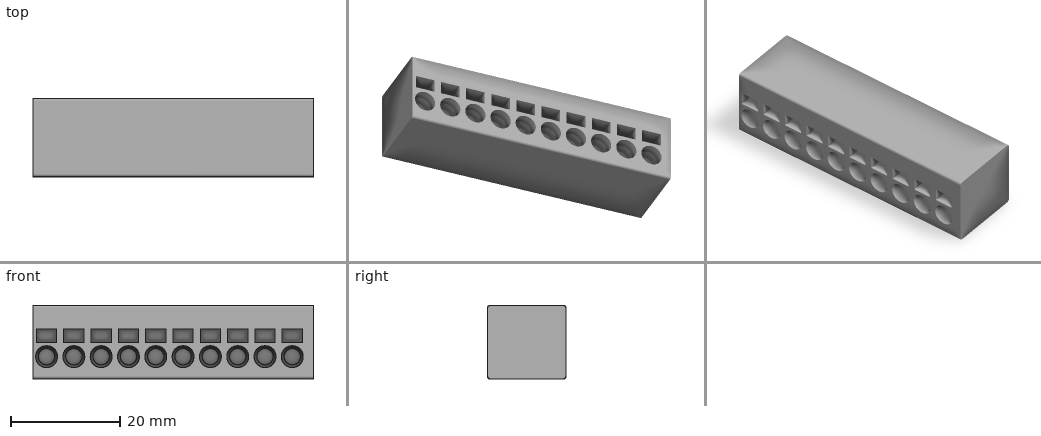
import cadquery as cq

length = 51.4
depth = 14.4
height = 13.5
edge_radius = 0.5

pole_count = 10
pole_pitch = 5.0
first_pole_x = 2.5

bore_diameter = 4.0
floor_diameter = 3.0
bore_depth = 2.0
taper_depth = 1.3
wire_entry_depth = bore_depth + taper_depth
wire_entry_z = 4.1

pocket_width = 3.7
pocket_height = 2.5
pocket_depth = wire_entry_depth
pocket_bottom_z = 6.7


def housing():
    """Block with its four long edges rounded and its end faces left sharp."""
    block = cq.Workplane("XY").box(length, depth, height, centered=False)
    return block.edges("|X").fillet(edge_radius)


def wire_entry(pole_x):
    """Bore and taper to remove, running inward along +Y."""
    inward = cq.Vector(0, 1, 0)
    mouth = cq.Vector(pole_x, 0, wire_entry_z)
    taper_start = mouth + inward * bore_depth
    bore_radius = bore_diameter / 2
    bore = cq.Solid.makeCylinder(bore_radius, bore_depth, mouth, inward)
    taper = cq.Solid.makeCone(bore_radius, floor_diameter / 2, taper_depth, taper_start, inward)
    return cq.Workplane(obj=bore.fuse(taper))


def release_pocket(pole_x):
    """Box to remove, centred on the pole and running inward along +Y."""
    corner = (pole_x - pocket_width / 2, 0, pocket_bottom_z)
    pocket = cq.Workplane("XY").box(pocket_width, pocket_depth, pocket_height, centered=False)
    return pocket.translate(corner)


result = housing()
for pole in range(pole_count):
    pole_x = first_pole_x + pole * pole_pitch
    result = result.cut(wire_entry(pole_x))
    result = result.cut(release_pocket(pole_x))